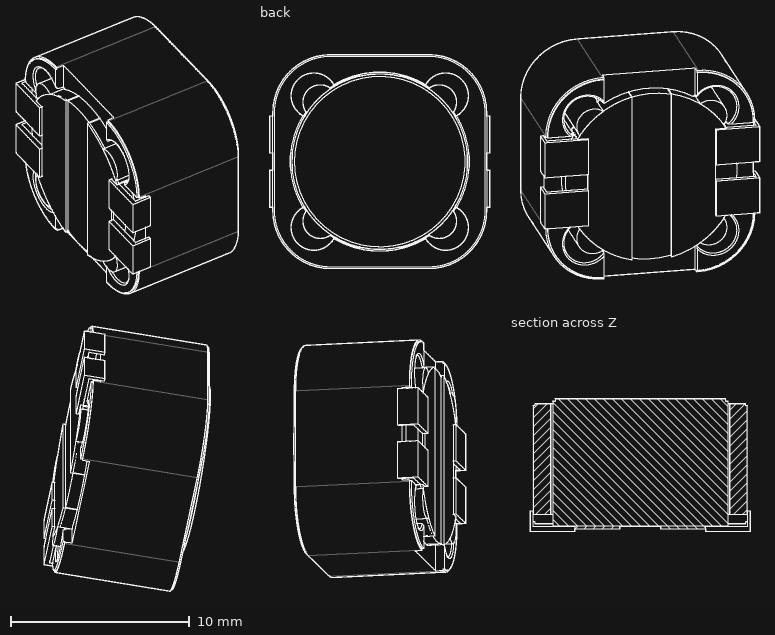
import cadquery as cq

shield_width = 12.0
shield_corner_radius = 3.25
shield_front_y = 0.15
shield_back_y = 6.87
shield_step = 0.1
bore_radius = 5.01

corner_hole_radius = 1.27
corner_hole_offset = 3.69
corner_hole_chamfer = 0.1

channel_depth = 0.5
channel_floor_width = 5.28
channel_mouth_width = 5.35

core_radius = 4.92
core_back_y = 7.16
core_step = 0.15
lobe_radius = 0.97
lobe_offset = 3.33

pad_radius = 4.99
pad_thickness = 0.15
pad_gap = 2.27
pad_rim_back_y = 1.48

overall_width = 12.34
terminal_length = 2.5
terminal_height = 2.09
terminal_spacing = 0.96
terminal_front_thickness = 0.3
terminal_back_y = 0.88

SIDES = (-1, 1)
CORNERS = [(x, z) for x in SIDES for z in SIDES]


def slab(y_front, y_back, width_x, width_z):
    """Box centred on the Y axis between two depths."""
    middle_y = (y_front + y_back) / 2
    return cq.Workplane("XY").box(width_x, y_back - y_front, width_z).translate((0, middle_y, 0))


def rounded_slab(y_front, y_back, width, corner_radius):
    """Square slab with its four edges along Y rounded."""
    return slab(y_front, y_back, width, width).edges("|Y").fillet(corner_radius)


def disc(y_front, y_back, radius, x=0, z=0):
    """Cylinder along Y between two depths."""
    return cq.Workplane("XZ", origin=(x, y_front, z)).circle(radius).extrude(y_front - y_back)


def channel():
    """Cutter for a channel along Z whose walls spread towards the front."""
    floor_y = shield_front_y + channel_depth
    return (
        cq.Workplane("XY")
        .moveTo(-channel_floor_width / 2, floor_y)
        .lineTo(channel_floor_width / 2, floor_y)
        .lineTo(channel_mouth_width / 2, shield_front_y)
        .lineTo(-channel_mouth_width / 2, shield_front_y)
        .close()
        .extrude(shield_width / 2, both=True)
    )


def make_shield():
    inner_width = shield_width - 2 * shield_step
    inner_radius = shield_corner_radius - shield_step
    block = rounded_slab(shield_front_y, shield_back_y, inner_width, inner_radius)
    block = block.union(
        rounded_slab(
            shield_front_y + shield_step, shield_back_y - shield_step, shield_width, shield_corner_radius
        )
    )
    shield = block.cut(disc(shield_front_y, shield_back_y, bore_radius))
    for x, z in CORNERS:
        hole_x = x * corner_hole_offset
        hole_z = z * corner_hole_offset
        hole = disc(shield_front_y, shield_back_y, corner_hole_radius, hole_x, hole_z)
        countersink = cq.Workplane(
            cq.Solid.makeCone(
                corner_hole_radius + corner_hole_chamfer,
                corner_hole_radius,
                corner_hole_chamfer,
                cq.Vector(hole_x, shield_front_y, hole_z),
                cq.Vector(0, 1, 0),
            )
        )
        shield = shield.cut(hole).cut(countersink)
    cutter = channel()
    return shield.cut(cutter).cut(cutter.rotate((0, 0, 0), (0, 1, 0), 90))


def pad_envelope():
    """Round cap over the front of the core, with a thin rim around it."""
    cap = disc(-pad_thickness, pad_rim_back_y, pad_radius)
    return cap.cut(disc(0, pad_rim_back_y, core_radius))


def make_core():
    body = disc(0, core_back_y - core_step, core_radius)
    core = body.union(disc(0, core_back_y, core_radius - core_step))
    for x, z in CORNERS:
        core = core.union(disc(-pad_thickness, shield_back_y, lobe_radius, x * lobe_offset, z * lobe_offset))
    return core.cut(pad_envelope())


def make_pad(side):
    width = overall_width / 2
    half = slab(-pad_thickness, pad_rim_back_y, width, shield_width)
    pad = pad_envelope().intersect(half.translate((side * (pad_gap + width) / 2, 0, 0)))
    notch_height = 2 * terminal_height + terminal_spacing
    notch = slab(-pad_thickness, pad_rim_back_y, terminal_length, notch_height)
    return pad.cut(notch.translate((side * (overall_width - terminal_length) / 2, 0, 0)))


def make_terminal(x_side, z_side):
    outer_x = overall_width / 2
    wall_x = shield_width / 2
    tip_x = outer_x - terminal_length
    front_y = -terminal_front_thickness
    profile = [
        (outer_x, front_y),
        (outer_x, terminal_back_y),
        (wall_x, terminal_back_y),
        (wall_x, 0),
        (tip_x, 0),
        (tip_x, front_y),
    ]
    terminal = (
        cq.Workplane("XY", origin=(0, 0, z_side * (terminal_height + terminal_spacing) / 2))
        .polyline([(x_side * x, y) for x, y in profile])
        .close()
        .extrude(terminal_height / 2, both=True)
    )
    return terminal


shield = make_shield()
core = make_core()
pads = [make_pad(side).val() for side in SIDES]
terminals = [make_terminal(x, z).val() for x, z in CORNERS]

result = cq.Compound.makeCompound([shield.val(), core.val(), *pads, *terminals])